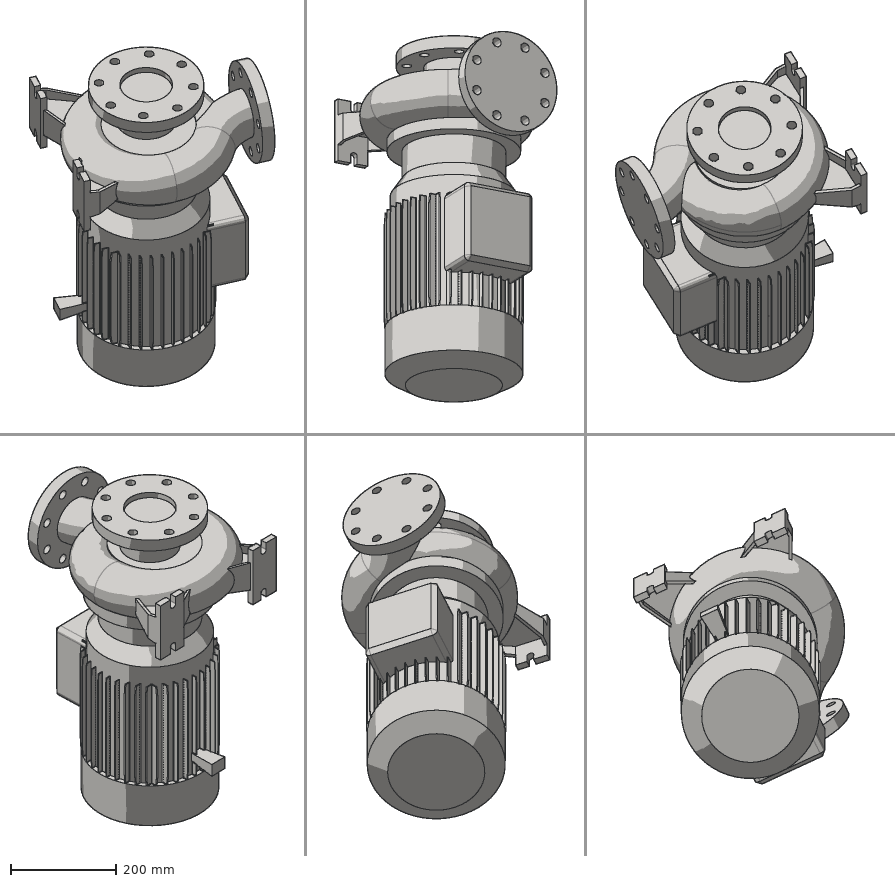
import cadquery as cq
import math


overall_height = 669.0

suction_face_z = 125.0
suction_flange_dia = 220.0
suction_pitch_dia = 180.0
suction_neck_dia = 115.0
suction_recess_dia = 100.0
suction_recess_depth = 12.0

discharge_face_y = 225.0
discharge_flange_dia = 200.0
discharge_pitch_dia = 160.0

flange_thickness = 25.0
bolt_hole_dia = 18.0
bolt_count = 8

volute_tube_radius = 47.5
volute_center_x = 13.5
volute_bend_radius = 120.0
tongue_angle = 120.0
tongue_end_radius = 37.5
tongue_steps = 4
hub_top_z = 37.0
hub_radius = 91.0

collar_radius = 127.5
collar_top_z = -40.0
collar_bottom_z = -70.5
lantern_radius = 99.0
lantern_bottom_z = -128.0
motor_radius = 121.5
motor_top_z = -161.0
fins_top_z = -200.0
cowl_radius = 131.5
cowl_top_z = -429.0
cowl_cone_z = -521.0
cowl_end_radius = 92.5
motor_end_z = suction_face_z - overall_height

fin_count = 40
fin_thickness = 2.0
fin_radius = 133.0
fin_taper_length = 20.0

box_half_width = 73.5
box_outer_y = 184.0
box_height = 159.0
box_top_z = fins_top_z
box_fillet = 10.0
box_chamfer = 9.5

foot_face_y = -180.0
lug_width = 36.0
lug_height = 27.0
lug_inner_width = 24.0
lug_inner_height = 18.0
lug_inner_y = -115.0
lug_center_z = -389.0

foot_outer_x = 160.0
foot_width = 65.0
foot_height = 125.0
foot_plate_thickness = 13.0
foot_slot_width = 14.0
foot_slot_depth = 22.0
foot_slot_x = 125.0
foot_wall_thickness = 6.0
foot_wall_bend_y = -147.5
foot_wall_slope = 0.5
outer_wall_end_y = -65.0
inner_wall_end_x = 35.0
foot_web_thickness = 10.0
wedge_half_height = 30.5
wedge_slope = 0.155


def bolt_holes(flange_plane, pitch_dia):
    """Cylinders for the bolt holes, straddling the flange centre lines."""
    return (
        cq.Workplane(flange_plane)
        .polarArray(pitch_dia / 2, 180.0 / bolt_count, 360, bolt_count)
        .circle(bolt_hole_dia / 2)
        .extrude(-flange_thickness)
    )


def make_tongue():
    """Closing part of the snail: a shrinking tube whose outer side stays on one radius."""
    outer_radius = volute_bend_radius + volute_tube_radius - volute_center_x
    sections = []
    for step in range(tongue_steps + 1):
        fraction = step / tongue_steps
        angle = math.pi - math.radians(tongue_angle) * fraction
        radius = volute_tube_radius + (tongue_end_radius - volute_tube_radius) * fraction
        center_radius = outer_radius - radius
        center = cq.Vector(center_radius * math.cos(angle), center_radius * math.sin(angle), 0)
        heading = cq.Vector(math.sin(angle), -math.cos(angle), 0)
        sections.append(cq.Wire.makeCircle(radius, center, heading))
    return cq.Workplane(cq.Solid.makeLoft(sections))


def make_volute():
    """Solid hub and the snail-shaped tube that runs round it and bends back to the discharge flange."""
    rise = discharge_face_y**2 + volute_center_x**2 - volute_bend_radius**2
    return_radius = rise / (2 * (volute_bend_radius + volute_center_x))
    end_angle = math.asin(discharge_face_y / (volute_bend_radius + return_radius))

    def on_main_arc(angle):
        return (
            volute_center_x + volute_bend_radius * math.cos(angle),
            volute_bend_radius * math.sin(angle),
        )

    return_mid_angle = math.pi + end_angle / 2
    return_mid = (
        return_radius + return_radius * math.cos(return_mid_angle),
        discharge_face_y + return_radius * math.sin(return_mid_angle),
    )
    start = on_main_arc(-math.pi)
    main_path = (
        cq.Workplane("XY")
        .moveTo(*start)
        .threePointArc(on_main_arc(-math.pi / 2), on_main_arc(0))
        .threePointArc(on_main_arc(end_angle / 2), on_main_arc(end_angle))
        .threePointArc(return_mid, (0, discharge_face_y))
    )
    main_tube = cq.Workplane("XZ").center(start[0], 0).circle(volute_tube_radius).sweep(main_path)
    hub = (
        cq.Workplane("XY", origin=(volute_center_x, 0, collar_top_z))
        .circle(hub_radius)
        .extrude(hub_top_z - collar_top_z)
    )
    return main_tube.union(make_tongue()).union(hub)


def make_turned_body():
    """Flange, neck, collar, lantern, motor and cowl turned about the Z axis."""
    flange_back_z = suction_face_z - flange_thickness
    profile = [
        (0, suction_face_z),
        (suction_flange_dia / 2, suction_face_z),
        (suction_flange_dia / 2, flange_back_z),
        (suction_neck_dia / 2, flange_back_z),
        (suction_neck_dia / 2, collar_top_z),
        (collar_radius, collar_top_z),
        (collar_radius, collar_bottom_z),
        (lantern_radius, collar_bottom_z),
        (lantern_radius, lantern_bottom_z),
        (motor_radius, motor_top_z),
        (motor_radius, cowl_top_z),
        (cowl_radius, cowl_top_z),
        (cowl_radius, cowl_cone_z),
        (cowl_end_radius, motor_end_z),
        (0, motor_end_z),
    ]
    return cq.Workplane("XZ").polyline(profile).close().revolve(360, (0, 0), (0, 1))


def make_fins():
    """Two crossed sets of parallel fins, trimmed to a barrel that narrows at both ends."""
    barrel = (
        cq.Workplane("XZ")
        .polyline(
            [
                (0, fins_top_z),
                (cowl_radius, fins_top_z),
                (fin_radius, fins_top_z - fin_taper_length),
                (fin_radius, cowl_top_z + fin_taper_length),
                (cowl_radius, cowl_top_z),
                (0, cowl_top_z),
            ]
        )
        .close()
        .revolve(360, (0, 0), (0, 1))
    )
    angle_step = 360.0 / fin_count
    fins_per_half_side = fin_count // 8
    fin_places = []
    for index in range(fins_per_half_side):
        offset = fin_radius * math.sin(math.radians((index + 0.5) * angle_step))
        fin_places += [(offset, 0), (-offset, 0)]
    plates = (
        cq.Workplane("XY", origin=(0, 0, cowl_top_z))
        .pushPoints(fin_places)
        .rect(fin_thickness, 2 * fin_radius)
        .extrude(fins_top_z - cowl_top_z)
    )
    crossed_plates = plates.union(plates.rotate((0, 0, 0), (0, 0, 1), 90))
    return crossed_plates.intersect(barrel)


def make_terminal_box():
    """Box on the +Y side of the motor with rounded edges and a chamfered cover face."""
    box = (
        cq.Workplane("XY")
        .box(2 * box_half_width, box_outer_y, box_height, centered=(True, False, False))
        .translate((0, 0, box_top_z - box_height))
    )
    return box.edges("|Y").fillet(box_fillet).faces(">Y").chamfer(box_chamfer)


def make_lug():
    """Support lug on the -Y side of the motor, widening towards its foot face."""
    return (
        cq.Workplane("XZ", origin=(0, lug_inner_y, lug_center_z))
        .rect(lug_inner_width, lug_inner_height)
        .workplane(offset=lug_inner_y - foot_face_y)
        .rect(lug_width, lug_height)
        .loft()
    )


def make_foot():
    """Foot on the +X side: slotted plate, two tapered side walls and a web between them."""
    plate_back_y = foot_face_y + foot_plate_thickness
    plate_inner_x = foot_outer_x - foot_width
    plate = cq.Workplane("XY").box(foot_width, foot_plate_thickness, foot_height).translate(
        (foot_outer_x - foot_width / 2, foot_face_y + foot_plate_thickness / 2, 0)
    )
    for side in (1, -1):
        slot_center_z = side * foot_height / 2
        slot = (
            cq.Workplane("XZ", origin=(foot_slot_x, plate_back_y, slot_center_z))
            .slot2D(2 * foot_slot_depth, foot_slot_width, 90)
            .extrude(foot_plate_thickness)
        )
        plate = plate.cut(slot)

    slant_length = math.hypot(1, foot_wall_slope)
    slant_thickness = foot_wall_thickness * slant_length
    outer_wall_end_x = foot_outer_x - foot_wall_slope * (outer_wall_end_y - foot_wall_bend_y)
    inner_wall_end_y = plate_back_y + foot_wall_slope * (plate_inner_x - inner_wall_end_x)
    inner_bend_y = foot_wall_bend_y - (slant_thickness - foot_wall_thickness) / foot_wall_slope
    outer_wall = [
        (foot_outer_x, plate_back_y),
        (foot_outer_x, foot_wall_bend_y),
        (outer_wall_end_x, outer_wall_end_y),
        (outer_wall_end_x - slant_thickness, outer_wall_end_y),
        (foot_outer_x - foot_wall_thickness, inner_bend_y),
        (foot_outer_x - foot_wall_thickness, plate_back_y),
    ]
    inner_wall = [
        (plate_inner_x, plate_back_y),
        (inner_wall_end_x, inner_wall_end_y),
        (inner_wall_end_x, inner_wall_end_y - slant_thickness),
        (plate_inner_x, plate_back_y - slant_thickness),
    ]
    web_outline = outer_wall[:3] + inner_wall[1::-1]

    def slab(outline, height):
        return cq.Workplane("XY").polyline(outline).close().extrude(height / 2, both=True)

    front_half = wedge_half_height + wedge_slope * foot_plate_thickness
    back_half = wedge_half_height - wedge_slope * (outer_wall_end_y - plate_back_y)
    wedge = (
        cq.Workplane("YZ")
        .polyline(
            [
                (foot_face_y, front_half),
                (outer_wall_end_y, back_half),
                (outer_wall_end_y, -back_half),
                (foot_face_y, -front_half),
            ]
        )
        .close()
        .extrude(foot_outer_x)
    )
    walls = slab(outer_wall, foot_height).union(slab(inner_wall, foot_height)).intersect(wedge)
    return plate.union(walls).union(slab(web_outline, foot_web_thickness))


suction_plane = cq.Plane(origin=(0, 0, suction_face_z))
discharge_plane = cq.Plane(origin=(0, discharge_face_y, 0), xDir=(1, 0, 0), normal=(0, 1, 0))

discharge_flange = (
    cq.Workplane(discharge_plane).circle(discharge_flange_dia / 2).extrude(-flange_thickness)
)
suction_recess = (
    cq.Workplane(suction_plane).circle(suction_recess_dia / 2).extrude(-suction_recess_depth)
)

foot = make_foot()
result = make_turned_body().union(make_volute()).union(discharge_flange)
result = result.union(foot).union(foot.mirror("YZ"))
result = result.union(make_fins()).union(make_terminal_box()).union(make_lug())
result = result.cut(suction_recess)
result = result.cut(bolt_holes(suction_plane, suction_pitch_dia))
result = result.cut(bolt_holes(discharge_plane, discharge_pitch_dia))